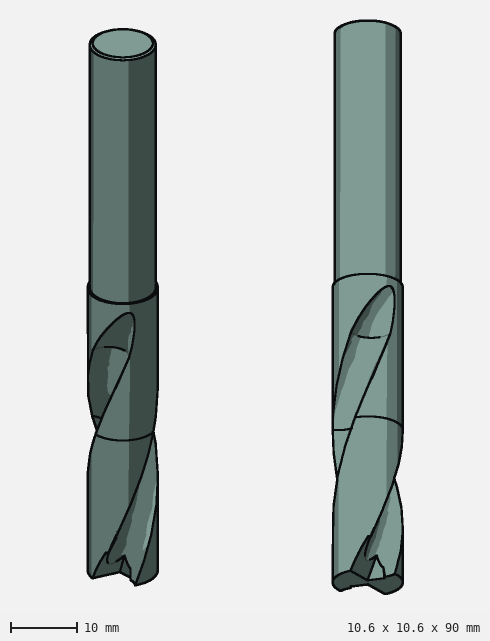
import cadquery as cq

TOTAL_LENGTH = 90.0
SHANK_DIAMETER = 10.0
CUTTING_DIAMETER = 10.6
COLLAR_TOP = 48.2
JOINT_HEIGHT = 24.9
END_CHAMFER_WIDTH = 0.45
END_CHAMFER_HEIGHT = 0.3

FLUTE_COUNT = 2
FLUTE_PITCH = 82.8
FLUTE_START_ANGLE = 95.7
FLUTE_RADIUS = 3.15
CORE_RADIUS = 2.25
RUNOUT_START = 39.1
RUNOUT_END = 46.7
RUNOUT_SECTIONS = 5

GASH_HEIGHT = 5.4
GASH_TIP_OUTLINE = [(-5.2, -5.85), (-0.2, -0.8), (2.2, -2.1), (2.2, -5.85)]
GASH_UPPER_OUTLINE = [(-1.4, -5.85), (1.5, -2.6), (1.6, -2.5), (2.2, -5.85)]

CUTTING_RADIUS = CUTTING_DIAMETER / 2
FLUTE_CENTER_RADIUS = CORE_RADIUS + FLUTE_RADIUS
FLUTE_SPACING = 360 / FLUTE_COUNT
AXIS_START = (0, 0, 0)
AXIS_END = (0, 0, 1)


def turn(shape, angle):
    """Rotate a shape about the tool axis."""
    return shape.rotate(AXIS_START, AXIS_END, angle)


def flute_angle(height):
    """Direction of the first flute at a given height."""
    return FLUTE_START_ANGLE + 360 * height / FLUTE_PITCH


def make_helical_flute():
    """Constant-depth part of the first flute."""
    twist = 360 * RUNOUT_START / FLUTE_PITCH
    flute = (
        cq.Workplane("XY")
        .moveTo(FLUTE_CENTER_RADIUS, 0)
        .circle(FLUTE_RADIUS)
        .twistExtrude(RUNOUT_START, twist)
    )
    return turn(flute, FLUTE_START_ANGLE)


def make_runout():
    """Upper end of the first flute, where the round section moves out of the body."""
    sections = []
    for index in range(RUNOUT_SECTIONS):
        travel = index / (RUNOUT_SECTIONS - 1)
        height = RUNOUT_START + travel * (RUNOUT_END - RUNOUT_START)
        center_radius = FLUTE_CENTER_RADIUS + travel * (CUTTING_RADIUS - CORE_RADIUS)
        circle = cq.Wire.makeCircle(FLUTE_RADIUS, cq.Vector(center_radius, 0, height), cq.Vector(0, 0, 1))
        sections.append(turn(circle, flute_angle(height)))
    return cq.Workplane(obj=cq.Solid.makeLoft(sections))


def make_gash():
    """Slanted notch at the tip of the flute on the -Y side."""
    return (
        cq.Workplane("XY")
        .polyline(GASH_TIP_OUTLINE).close()
        .workplane(offset=GASH_HEIGHT)
        .polyline(GASH_UPPER_OUTLINE).close()
        .loft(ruled=True)
    )


def cut_around(body, cutter):
    """Cut one copy of the cutter for each flute."""
    for index in range(FLUTE_COUNT):
        body = body.cut(turn(cutter, index * FLUTE_SPACING))
    return body


def make_shank():
    """Plain chamfered shank with the fluted collar below it."""
    collar = (
        cq.Workplane("XY", origin=(0, 0, JOINT_HEIGHT))
        .circle(CUTTING_RADIUS)
        .extrude(COLLAR_TOP - JOINT_HEIGHT)
    )
    shank = (
        cq.Workplane("XY", origin=(0, 0, COLLAR_TOP))
        .circle(SHANK_DIAMETER / 2)
        .extrude(TOTAL_LENGTH - COLLAR_TOP)
        .faces(">Z").chamfer(END_CHAMFER_HEIGHT, END_CHAMFER_WIDTH)
    )
    collar = cut_around(collar, make_helical_flute())
    collar = cut_around(collar, make_runout())
    return collar.union(shank)


def make_cutting_head():
    """Fluted tip with a gash at the end of each flute."""
    head = cq.Workplane("XY").circle(CUTTING_RADIUS).extrude(JOINT_HEIGHT)
    head = cut_around(head, make_helical_flute())
    return cut_around(head, make_gash())


shank = make_shank()
cutting_head = make_cutting_head()
result = cq.Compound.makeCompound([shank.val(), cutting_head.val()])